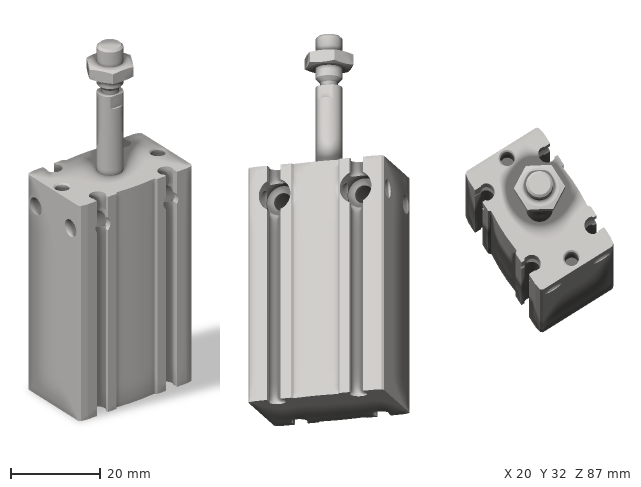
import cadquery as cq
import math


HOUSING_WIDTH = 20.0
HOUSING_DEPTH = 32.0
HOUSING_HEIGHT = 55.0
HALF_WIDTH = HOUSING_WIDTH / 2
HALF_DEPTH = HOUSING_DEPTH / 2

TAPER_START_Y = 14.0
TAPER_INSET = 0.3
BEVEL_INSET_X = 0.8
BEVEL_INSET_Y = 0.4

RECESS_OUTER_Y = 5.7
RECESS_FLOOR_Y = 5.3
RECESS_DEPTH = 0.5
BULGE_Y = 4.9
BULGE_INSET = 0.3

GROOVE_DIAMETER = 4.0
GROOVE_X = 8.2
GROOVE_Y = 9.7
GROOVE_OUTER_Y = 11.5
MOUTH_INNER_Y = 8.2
MOUTH_OUTER_Y = 11.3
INNER_LIP = 0.8
INNER_SLOPE = 0.35
OUTER_LIP = 1.6

CROSS_HOLE_DROP = 7.0
CROSS_HOLE_Z = HOUSING_HEIGHT - CROSS_HOLE_DROP
SIDE_HOLE_Y = 9.6
SIDE_HOLE_DIAMETER = 4.2
COUNTERBORE_DIAMETER = 7.5
COUNTERBORE_DEPTH = 6.0
FRONT_HOLE_DIAMETER = 4.3
FRONT_HOLE_X = 6.4
TOP_HOLE_DIAMETER = 3.2
TOP_HOLE_MOUTH_DIAMETER = 3.9
TOP_HOLE_Y = 13.5
TOP_HOLE_DEPTH = 7.8

ROD_DIAMETER = 6.0
NECK_DIAMETER = 4.0
TIP_DIAMETER = 5.0
TOTAL_HEIGHT = 87.0
SHOULDER_Z = 75.1
THREAD_START_Z = 77.2
FLAT_WIDTH = 5.0
FLAT_HEIGHT = 3.05

NUT_FLATS = 10.0
NUT_HEIGHT = 3.1
NUT_BOTTOM_Z = 79.6
NUT_FACE_DIAMETER = 8.9
NUT_CHAMFER_ANGLE = 15.0


def housing_blank():
    """Extruded profile without grooves: a rectangle with bevelled corners and side recesses."""
    floor_x = HALF_WIDTH - RECESS_DEPTH
    quarter = [
        (floor_x, BULGE_Y),
        (floor_x, RECESS_FLOOR_Y),
        (HALF_WIDTH, RECESS_OUTER_Y),
        (HALF_WIDTH, TAPER_START_Y),
        (HALF_WIDTH - TAPER_INSET, HALF_DEPTH - BEVEL_INSET_Y),
        (HALF_WIDTH - BEVEL_INSET_X, HALF_DEPTH),
    ]
    upper_left = [(-x, y) for x, y in reversed(quarter)]
    lower_left = [(-x, -y) for x, y in quarter]
    lower_right = [(x, -y) for x, y in reversed(quarter)]
    bulge_x = HALF_WIDTH - BULGE_INSET
    profile = (
        cq.Workplane("XY")
        .polyline(quarter + upper_left)
        .threePointArc((-bulge_x, 0), lower_left[0])
        .polyline(lower_left[1:] + lower_right, includeCurrent=True)
        .threePointArc((bulge_x, 0), quarter[0])
        .close()
    )
    return profile.extrude(HOUSING_HEIGHT)


def switch_groove(side_x, side_y):
    """Round-bottomed groove; a slope leads from each mouth lip to the wider inside."""
    radius = GROOVE_DIAMETER / 2
    inner_lip_x = HALF_WIDTH - INNER_LIP
    outer_lip_x = HALF_WIDTH - OUTER_LIP
    outer_slope = GROOVE_OUTER_Y - MOUTH_OUTER_Y
    inner_end_x = inner_lip_x - INNER_SLOPE
    inner_end_y = GROOVE_Y - math.sqrt(radius**2 - (inner_end_x - GROOVE_X) ** 2)
    outer_end_x = GROOVE_X - math.sqrt(radius**2 - (GROOVE_OUTER_Y - GROOVE_Y) ** 2)
    groove = (
        cq.Workplane("XY")
        .moveTo(inner_end_x, inner_end_y)
        .lineTo(inner_lip_x, MOUTH_INNER_Y)
        .lineTo(HALF_WIDTH, MOUTH_INNER_Y)
        .lineTo(HALF_WIDTH, MOUTH_OUTER_Y)
        .lineTo(outer_lip_x, MOUTH_OUTER_Y)
        .lineTo(outer_lip_x - outer_slope, GROOVE_OUTER_Y)
        .lineTo(outer_end_x, GROOVE_OUTER_Y)
        .threePointArc((GROOVE_X - radius, GROOVE_Y), (inner_end_x, inner_end_y))
        .close()
        .extrude(HOUSING_HEIGHT)
    )
    if side_x < 0:
        groove = groove.mirror("YZ")
    if side_y < 0:
        groove = groove.mirror("XZ")
    return groove


def side_hole(y):
    """Hole through the width, counterbored on the -X side."""
    start = cq.Workplane("YZ", origin=(-HALF_WIDTH, y, CROSS_HOLE_Z))
    hole = start.circle(SIDE_HOLE_DIAMETER / 2).extrude(HOUSING_WIDTH)
    counterbore = start.circle(COUNTERBORE_DIAMETER / 2).extrude(COUNTERBORE_DEPTH)
    return hole.union(counterbore)


def front_hole(x):
    """Plain hole through the depth."""
    start = cq.Workplane("XZ", origin=(x, HALF_DEPTH, CROSS_HOLE_Z))
    return start.circle(FRONT_HOLE_DIAMETER / 2).extrude(HOUSING_DEPTH)


def top_hole(y):
    """Blind hole in the top face with a 45 degree countersunk mouth."""
    radius = TOP_HOLE_DIAMETER / 2
    mouth_radius = TOP_HOLE_MOUTH_DIAMETER / 2
    half_section = [
        (0, -TOP_HOLE_DEPTH),
        (radius, -TOP_HOLE_DEPTH),
        (radius, radius - mouth_radius),
        (mouth_radius, 0),
        (0, 0),
    ]
    hole = cq.Workplane("XZ").polyline(half_section).close().revolve(360, (0, 0), (0, 1))
    return hole.translate((0, y, HOUSING_HEIGHT))


def make_housing():
    housing = housing_blank()
    for side in (-1, 1):
        housing = housing.cut(switch_groove(side, -1)).cut(switch_groove(side, 1))
        housing = housing.cut(side_hole(side * SIDE_HOLE_Y))
        housing = housing.cut(front_hole(side * FRONT_HOLE_X))
        housing = housing.cut(top_hole(side * TOP_HOLE_Y))
    return housing


def make_rod():
    """Rod standing on the housing, with an undercut neck, a stud end and two wrench flats."""
    rod_radius = ROD_DIAMETER / 2
    neck_radius = NECK_DIAMETER / 2
    tip_radius = TIP_DIAMETER / 2
    half_section = [
        (0, HOUSING_HEIGHT),
        (rod_radius, HOUSING_HEIGHT),
        (rod_radius, SHOULDER_Z),
        (neck_radius, SHOULDER_Z),
        (neck_radius, THREAD_START_Z - (rod_radius - neck_radius)),
        (rod_radius, THREAD_START_Z),
        (rod_radius, TOTAL_HEIGHT - (rod_radius - tip_radius)),
        (tip_radius, TOTAL_HEIGHT),
        (0, TOTAL_HEIGHT),
    ]
    rod = cq.Workplane("XZ").polyline(half_section).close().revolve(360, (0, 0), (0, 1))
    for side in (-1, 1):
        flat_center = (side * (FLAT_WIDTH + ROD_DIAMETER) / 2, 0, SHOULDER_Z - FLAT_HEIGHT / 2)
        rod = rod.cut(cq.Workplane("XY").box(ROD_DIAMETER, ROD_DIAMETER, FLAT_HEIGHT).translate(flat_center))
    return rod


def make_nut():
    """Hex nut with corners towards +Y and -Y, conically chamfered on both faces."""
    corner_radius = NUT_FLATS / math.sqrt(3)
    face_radius = NUT_FACE_DIAMETER / 2
    chamfer_height = (corner_radius - face_radius) * math.tan(math.radians(NUT_CHAMFER_ANGLE))
    hexagon = cq.Workplane("XY").polygon(6, 2 * corner_radius).extrude(NUT_HEIGHT)
    hexagon = hexagon.rotate((0, 0, 0), (0, 0, 1), 30)
    half_section = [
        (0, 0),
        (face_radius, 0),
        (corner_radius, chamfer_height),
        (corner_radius, NUT_HEIGHT - chamfer_height),
        (face_radius, NUT_HEIGHT),
        (0, NUT_HEIGHT),
    ]
    chamfer_envelope = cq.Workplane("XZ").polyline(half_section).close().revolve(360, (0, 0), (0, 1))
    bore = cq.Workplane("XY").circle(ROD_DIAMETER / 2).extrude(NUT_HEIGHT)
    return hexagon.intersect(chamfer_envelope).cut(bore).translate((0, 0, NUT_BOTTOM_Z))


housing = make_housing()
rod = make_rod()
nut = make_nut()

result = cq.Compound.makeCompound([housing.val(), rod.val(), nut.val()])